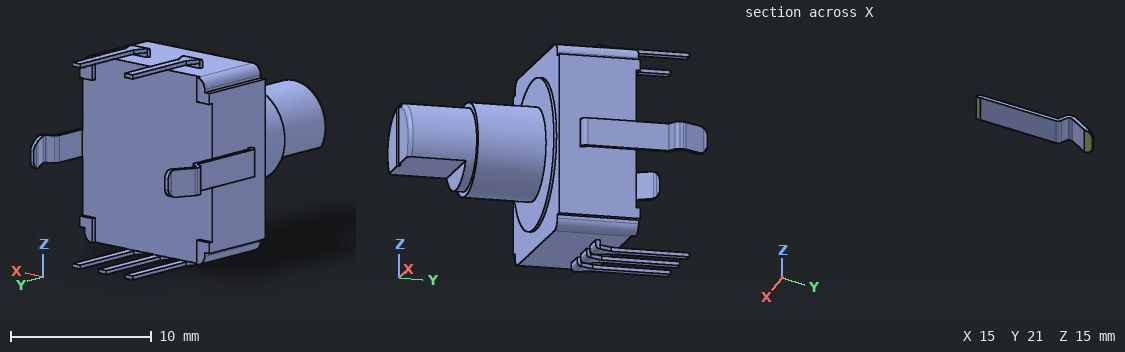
import cadquery as cq


side_width = 12.35
side_height = 11.7
core_width = 11.44
core_height = 13.7
corner_radius = 0.75
housing_depth = 6.0
back_recess = 0.3
foot_height = 0.8

disc_diameter = 11.0
disc_thickness = 0.2
bushing_diameter = 6.8
bushing_length = 5.0
shaft_diameter = 6.0
shaft_length = 5.0
shaft_edge_radius = 0.3
flat_offset = 1.5
flat_start = 0.7
slot_width = 0.45
slot_depth = 0.15

pin_span = 15.0
pin_pitch = 2.5
pin_thickness = 0.3
pin_bend_radius = 0.29
pin_root_width = 1.65
pin_width = 0.75
pin_front = 3.5
pin_taper_start = 3.8
pin_taper_end = 4.75
pin_end = 10.5
upper_pin_columns = (-1, 1)
lower_pin_columns = (-1, 0, 1)

clip_thickness = 0.33
clip_width = 2.0
clip_center_z = 0.13
clip_foot_y = 1.72
clip_end = 10.83
clip_leg_x = 6.6
clip_bulge_x = 7.34
clip_tip_x = 6.4
clip_leg_end = 8.0
clip_bulge_start = 8.42
clip_bulge_end = 8.85
clip_tip_start = 10.5
clip_bend_radius = 0.22
clip_tip_radius = 0.62

embed = 0.5

bushing_end = -(disc_thickness + bushing_length)
shaft_end = bushing_end - shaft_length


def block(x_range, y_range, z_range):
    """Axis-aligned box given by its limits."""
    limits = (x_range, y_range, z_range)
    sizes = [high - low for low, high in limits]
    corner = cq.Vector(*[low for low, high in limits])
    return cq.Workplane(obj=cq.Solid.makeBox(*sizes, corner))


def cylinder(diameter, start_y, end_y):
    """Cylinder on the Y axis running from start_y forward to end_y."""
    return cq.Workplane("XZ", origin=(0, start_y, 0)).circle(diameter / 2).extrude(start_y - end_y)


def make_housing():
    """Rounded core with thin side walls and a cross-shaped recess in the back."""
    back = cq.Workplane("XZ", origin=(0, housing_depth, 0))
    core = back.rect(core_width, core_height).extrude(housing_depth)
    core = core.edges("|Y").fillet(corner_radius)
    sides = back.rect(side_width, side_height).extrude(housing_depth)
    recess_width = core_width - 2 * corner_radius
    recess_height = side_height - 2 * foot_height
    recess = back.rect(recess_width, core_height).extrude(back_recess)
    recess = recess.union(back.rect(side_width, recess_height).extrude(back_recess))
    return core.union(sides).cut(recess)


def make_shaft():
    """Flatted shaft with a rounded end and a shallow screwdriver slot."""
    radius = shaft_diameter / 2
    shaft = cylinder(shaft_diameter, bushing_end, shaft_end).faces("<Y").edges().fillet(shaft_edge_radius)
    flat_y = (shaft_end, bushing_end - flat_start)
    below_flat = block((-radius, radius), flat_y, (-radius, -flat_offset))
    slot_x = (-slot_width / 2, slot_width / 2)
    slot = block(slot_x, (shaft_end, shaft_end + slot_depth), (-radius, radius))
    return shaft.cut(below_flat).cut(slot)


def make_upper_pin(x):
    """Right-angle pin leaving the top wall, wide at its root and tapered to its width."""
    outer_z = pin_span / 2
    inner_z = outer_z - pin_thickness
    root_z = core_height / 2 - embed
    profile = (
        cq.Workplane("YZ", origin=(-pin_root_width / 2, 0, 0))
        .moveTo(pin_front, root_z)
        .lineTo(pin_front, outer_z)
        .lineTo(pin_end, outer_z)
        .lineTo(pin_end, inner_z)
        .lineTo(pin_front + pin_thickness, inner_z)
        .lineTo(pin_front + pin_thickness, root_z)
        .close()
        .extrude(pin_root_width)
    )
    profile = profile.edges("|X and <Y and >Z").fillet(pin_bend_radius)
    outline = (
        cq.Workplane("XY", origin=(0, 0, root_z))
        .moveTo(0, pin_front)
        .lineTo(pin_root_width / 2, pin_front)
        .lineTo(pin_root_width / 2, pin_taper_start)
        .lineTo(pin_width / 2, pin_taper_end)
        .lineTo(pin_width / 2, pin_end)
        .lineTo(0, pin_end)
        .mirrorY()
        .extrude(outer_z - root_z)
    )
    return profile.intersect(outline).translate((x, 0, 0))


def make_right_clip():
    """Bent strip on the +X side: foot, straight leg, outward bulge and rounded tip."""
    foot_x = side_width / 2 - embed
    bends = [
        (foot_x, clip_foot_y),
        (clip_leg_x, clip_foot_y),
        (clip_leg_x, clip_leg_end),
        (clip_bulge_x, clip_bulge_start),
        (clip_bulge_x, clip_bulge_end),
        (clip_tip_x, clip_tip_start),
        (clip_tip_x, clip_end),
    ]
    path = cq.Wire.makePolygon([cq.Vector(x, y, clip_center_z) for x, y in bends])
    path = path.fillet(clip_bend_radius)
    section = cq.Workplane("YZ", origin=(foot_x, clip_foot_y, clip_center_z))
    strip = section.rect(clip_thickness, clip_width).sweep(cq.Workplane(obj=path))
    outline = (
        block((foot_x, side_width), (0, clip_end), (-clip_width / 2, clip_width / 2))
        .edges("|X and >Y")
        .fillet(clip_tip_radius)
        .translate((0, 0, clip_center_z))
    )
    return strip.intersect(outline)


result = make_housing()
result = result.union(cylinder(disc_diameter, 0, -disc_thickness))
result = result.union(cylinder(bushing_diameter, -disc_thickness, bushing_end))
result = result.union(make_shaft())
for column in upper_pin_columns:
    result = result.union(make_upper_pin(column * pin_pitch))
for column in lower_pin_columns:
    result = result.union(make_upper_pin(column * pin_pitch).mirror("XY"))
right_clip = make_right_clip()
result = result.union(right_clip).union(right_clip.mirror("YZ"))